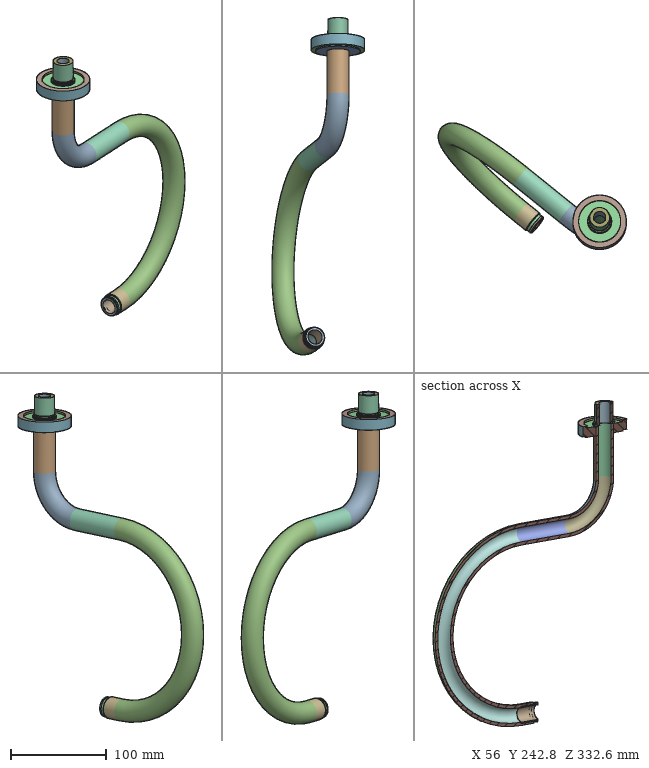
import cadquery as cq


pipe_radius = 11.5
pipe_bore_radius = 7.5
elbow_radius = 45.0
hook_radius = 97.5
hook_start_y = 105.8
run_z = -104.8
tail_length = 16.0
pipe_end_chamfer = 0.5

flange_radius = 28.0
flange_thickness = 11.3
flange_step_radius = 23.3
flange_step_height = 1.3
recess_radius = 22.0
recess_depth = 2.0

nipple_height = 21.3
nipple_top_radius = 10.48
nipple_base_radius = 10.8
nipple_neck_radius = 10.3
nipple_neck_height = 1.3
nipple_taper_start = 2.0
nipple_bore_radius = 6.3
collar_radius = 12.5
collar_chamfer = 0.5

outlet_ring_radius = 10.5
outlet_ring_length = 3.0
tip_radius = 10.5
tip_length = 2.5
tip_chamfer = 0.5
spigot_radius = 9.0
outlet_bore_radius = pipe_bore_radius
spigot_depth = tail_length

floor_z = -recess_depth
outlet_z = run_z - 2 * hook_radius
pipe_end_y = hook_start_y - tail_length
ring_end_y = pipe_end_y - outlet_ring_length


def disc(radius, bottom, height):
    """Cylinder on the Z axis."""
    return cq.Workplane("XY").workplane(offset=bottom).circle(radius).extrude(height)


def outlet_rod(start_y, radius, length):
    """Cylinder on the outlet axis, running from start_y toward -Y."""
    return cq.Workplane("XZ", origin=(0, start_y, outlet_z)).circle(radius).extrude(length)


def spigot_envelope():
    """Outer shape of the spigot, from inside the pipe to the head of the tip."""
    return outlet_rod(pipe_end_y + spigot_depth, spigot_radius, spigot_depth + outlet_ring_length)


def chamfer_outer_edge(body, end_face, size):
    """Chamfer the largest circle of the chosen end face."""
    largest_circle = cq.selectors.RadiusNthSelector(-1)
    return body.faces(end_face).edges(largest_circle).chamfer(size)


def make_pipe():
    """Hollow tube: vertical leg, elbow, horizontal run, half-circle hook and short tail.

    The tail end is chamfered and counterbored for the spigot of the tip.
    """
    path = (
        cq.Workplane("YZ")
        .moveTo(0, floor_z)
        .lineTo(0, run_z + elbow_radius)
        .radiusArc((elbow_radius, run_z), -elbow_radius)
        .lineTo(hook_start_y, run_z)
        .threePointArc((hook_start_y + hook_radius, run_z - hook_radius), (hook_start_y, outlet_z))
        .lineTo(pipe_end_y, outlet_z)
    )
    section = cq.Workplane("XY", origin=(0, 0, floor_z)).circle(pipe_radius).circle(pipe_bore_radius)
    tube = section.sweep(path)
    tail_end = cq.selectors.NearestToPointSelector((0, pipe_end_y, outlet_z))
    tube = chamfer_outer_edge(tube, tail_end, pipe_end_chamfer)
    return tube.cut(spigot_envelope())


def make_flange():
    """Disc with a shallow top recess, a step underneath and a hole for the pipe."""
    body = disc(flange_radius, -flange_thickness, flange_thickness)
    step_bottom = -flange_thickness - flange_step_height
    body = body.union(disc(flange_step_radius, step_bottom, flange_step_height))
    body = body.cut(disc(recess_radius, floor_z, recess_depth))
    return body.cut(disc(pipe_radius, step_bottom, -step_bottom))


def make_nipple():
    """Slightly tapered tube with a narrower neck, standing on the pipe end."""
    return (
        cq.Workplane("XZ")
        .moveTo(nipple_bore_radius, floor_z)
        .lineTo(nipple_neck_radius, floor_z)
        .lineTo(nipple_neck_radius, nipple_neck_height)
        .lineTo(nipple_base_radius, nipple_taper_start)
        .lineTo(nipple_top_radius, nipple_height)
        .lineTo(nipple_bore_radius, nipple_height)
        .close()
        .revolve(360, (0, 0, 0), (0, 1, 0))
    )


def make_collar():
    """Chamfered ring in the flange recess around the nipple neck."""
    body = disc(collar_radius, floor_z, recess_depth).faces(">Z").edges().chamfer(collar_chamfer)
    return body.cut(disc(nipple_neck_radius, floor_z, recess_depth))


def make_outlet_ring():
    """Ring around the spigot, between the pipe end and the head of the tip."""
    return outlet_rod(pipe_end_y, outlet_ring_radius, outlet_ring_length).cut(spigot_envelope())


def make_tip():
    """Chamfered head on a spigot that reaches into the pipe, bored right through."""
    head = outlet_rod(ring_end_y, tip_radius, tip_length)
    head = chamfer_outer_edge(head, "<Y", tip_chamfer)
    bore_length = spigot_depth + outlet_ring_length + tip_length
    bore = outlet_rod(pipe_end_y + spigot_depth, outlet_bore_radius, bore_length)
    return head.union(spigot_envelope()).cut(bore)


pipe = make_pipe()
flange = make_flange()
nipple = make_nipple()
collar = make_collar()
outlet_ring = make_outlet_ring()
tip = make_tip()

result = cq.Compound.makeCompound(
    [pipe.val(), flange.val(), nipple.val(), collar.val(), outlet_ring.val(), tip.val()]
)